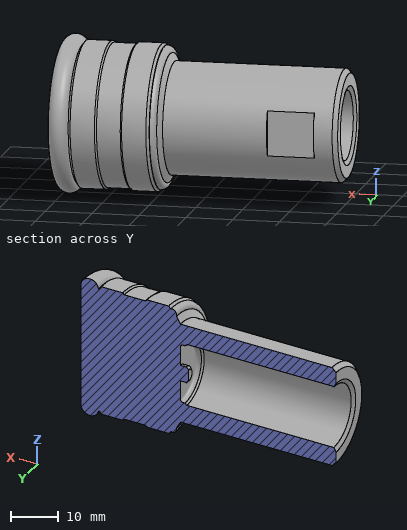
import cadquery as cq
import math


total_length = 61.0

sleeve_radius = 12.0
sleeve_chamfer = 1.0

flat_start = 5.0
flat_length = 10.0
across_flats = 22.0

shoulder_start = 37.15
shoulder_end = 38.05
shoulder_radius = 13.65

nose_radius = 15.2
nose_rounding = 1.3

neck_radius = 14.9
ring_radius = 15.6
waist_radius = 15.25
ring_width = 5.2
waist_bevel = 0.35
first_ring_start = 39.95
second_ring_start = 50.9

bead_outer_diameter = 33.5
bead_width = 4.3
bead_outer_radius = bead_outer_diameter / 2

mouth_radius = 8.35
mouth_chamfer_depth = 0.55
bore_radius = 7.4
bottom_radius = 6.95
bottom_fillet = 0.55
bore_depth = shoulder_start
bottom_step_depth = 2 * bottom_fillet

pin_radius = 1.95
pin_chamfer = 0.55
pin_height = pin_radius


def make_body():
    """Solid of revolution for the sleeve, head rings and bead."""
    arc_middle = math.sqrt(0.5)
    nose_arc_start = nose_radius - nose_rounding
    nose_centre_x = shoulder_end + nose_rounding
    nose_arc_middle = (
        nose_centre_x - nose_rounding * arc_middle,
        nose_arc_start + nose_rounding * arc_middle,
    )
    first_ring_end = first_ring_start + ring_width
    second_ring_end = second_ring_start + ring_width
    bead_round = bead_width / 2
    bead_centre_x = total_length - bead_round
    bead_centre_radius = bead_outer_radius - bead_round
    bead_start = bead_centre_x - math.sqrt(bead_round**2 - (neck_radius - bead_centre_radius) ** 2)

    profile = (
        cq.Workplane("XY")
        .moveTo(0, 0)
        .lineTo(0, sleeve_radius - sleeve_chamfer)
        .lineTo(sleeve_chamfer, sleeve_radius)
        .lineTo(shoulder_start, sleeve_radius)
        .lineTo(shoulder_end, shoulder_radius)
        .lineTo(shoulder_end, nose_arc_start)
        .threePointArc(nose_arc_middle, (nose_centre_x, nose_radius))
        .lineTo(nose_centre_x, neck_radius)
        .lineTo(first_ring_start, ring_radius)
        .lineTo(first_ring_end, ring_radius)
        .lineTo(first_ring_end + waist_bevel, waist_radius)
        .lineTo(second_ring_start - waist_bevel, waist_radius)
        .lineTo(second_ring_start, ring_radius)
        .lineTo(second_ring_end, ring_radius)
        .lineTo(bead_start, neck_radius)
        .threePointArc(
            (bead_centre_x, bead_outer_radius),
            (total_length, bead_centre_radius),
        )
        .lineTo(total_length, 0)
        .close()
    )
    return profile.revolve(360, (0, 0, 0), (1, 0, 0))


def make_bore():
    """Space inside the sleeve, leaving the pin standing on the floor."""
    step_bevel = bore_radius - bottom_radius
    step_start = bore_depth - bottom_step_depth
    fillet_start = bore_depth - bottom_fillet
    floor_radius = bottom_radius - bottom_fillet
    fillet_middle = (
        fillet_start + bottom_fillet * math.sqrt(0.5),
        floor_radius + bottom_fillet * math.sqrt(0.5),
    )
    pin_top = bore_depth - pin_height

    profile = (
        cq.Workplane("XY")
        .moveTo(0, 0)
        .lineTo(0, mouth_radius)
        .lineTo(mouth_chamfer_depth, bore_radius)
        .lineTo(step_start - step_bevel, bore_radius)
        .lineTo(step_start, bottom_radius)
        .lineTo(fillet_start, bottom_radius)
        .threePointArc(fillet_middle, (bore_depth, floor_radius))
        .lineTo(bore_depth, pin_radius)
        .lineTo(pin_top + pin_chamfer, pin_radius)
        .lineTo(pin_top, pin_radius - pin_chamfer)
        .lineTo(pin_top, 0)
        .close()
    )
    return profile.revolve(360, (0, 0, 0), (1, 0, 0))


def make_flat_cutter(side):
    """Block that cuts one wrench flat; side is +1 or -1 along Y."""
    cutter_centre = side * (across_flats / 2 + sleeve_radius / 2)
    return (
        cq.Workplane("XY")
        .box(flat_length, sleeve_radius, 2 * sleeve_radius)
        .translate((flat_start + flat_length / 2, cutter_centre, 0))
    )


result = make_body().cut(make_bore())
for side in (-1, 1):
    result = result.cut(make_flat_cutter(side))